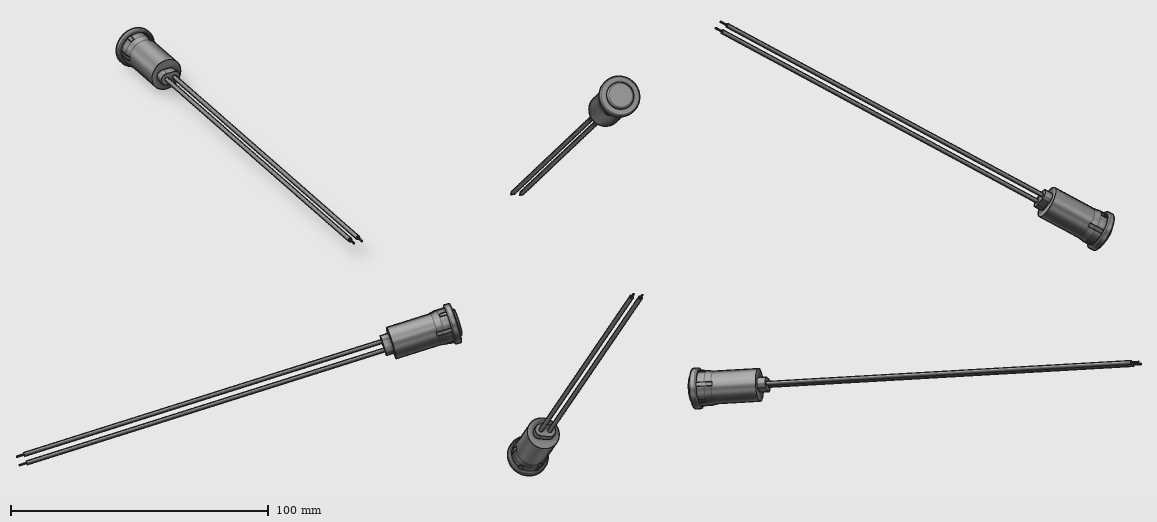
import cadquery as cq

total_length = 179.57

lens_radius = 5.4
lens_rounding = 0.7
lens_standout = 1.1

bezel_radius = 15.96 / 2
bezel_thickness = 2.6
bezel_rounding = 0.5
bezel_front = lens_standout
bezel_back = bezel_front + bezel_thickness

collar_radius = 6.8
collar_end = 6.8
barrel_radius = 6.4
taper_end = 9.4
barrel_end = 27.3

rib_count = 3
rib_spacing = 360 / rib_count
first_rib_angle = 180
rib_width = 1.6
rib_radius = 6.95
rib_flat_end = 7.6
rib_tip_radius = 6.5
rib_end = 9.9
bump_width = 1.6
bump_radius = 7.05
bump_flat_end = 5.6
bump_end = 6.5
root_radius = barrel_radius - 1

exit_width = 8.2
exit_height = 5.0
exit_end = 30.6

wire_pitch = 3.5
insulation_radius = 0.8
insulation_end = 176.5
tip_radius = 0.3


def rod(radius, start, end):
    """A round rod along the X axis."""
    return cq.Workplane("YZ").workplane(offset=start).circle(radius).extrude(end - start)


def make_lens():
    return rod(lens_radius, 0, bezel_back).faces("<X").edges().fillet(lens_rounding)


def make_bezel():
    disc = rod(bezel_radius, bezel_front, bezel_back).edges().fillet(bezel_rounding)
    return disc.cut(rod(lens_radius, bezel_front, bezel_back))


def sloped_rib(width, top_radius, flat_end, end_radius, end):
    """A rib on the +Y side of the collar: level at first, then sloping down to its tip."""
    profile = [
        (bezel_back, root_radius),
        (bezel_back, top_radius),
        (flat_end, top_radius),
        (end, end_radius),
        (end, root_radius),
    ]
    return cq.Workplane("XY").polyline(profile).close().extrude(width / 2, both=True)


def turned_about_axis(shape, angle):
    return shape.rotate((0, 0, 0), (1, 0, 0), angle)


def make_housing():
    profile = [
        (bezel_back, 0),
        (bezel_back, collar_radius),
        (collar_end, collar_radius),
        (taper_end, barrel_radius),
        (barrel_end, barrel_radius),
        (barrel_end, 0),
    ]
    body = cq.Workplane("XY").polyline(profile).close().revolve(360, (0, 0, 0), (1, 0, 0))

    rib = sloped_rib(rib_width, rib_radius, rib_flat_end, rib_tip_radius, rib_end)
    bump = sloped_rib(bump_width, bump_radius, bump_flat_end, collar_radius, bump_end)
    for index in range(rib_count):
        rib_angle = first_rib_angle + index * rib_spacing
        body = body.union(turned_about_axis(rib, rib_angle))
        body = body.union(turned_about_axis(bump, rib_angle + rib_spacing / 2))

    cable_exit = (
        cq.Workplane("YZ")
        .workplane(offset=barrel_end)
        .slot2D(exit_width, exit_height)
        .extrude(exit_end - barrel_end)
    )
    return body.union(cable_exit)


def make_wire(y):
    insulation = rod(insulation_radius, exit_end, insulation_end)
    bare_tip = rod(tip_radius, insulation_end, total_length)
    return insulation.union(bare_tip).translate((0, y, 0))


lens = make_lens()
bezel = make_bezel()
housing = make_housing()
wires = [make_wire(side * wire_pitch / 2) for side in (-1, 1)]

result = cq.Compound.makeCompound(
    [lens.val(), bezel.val(), housing.val(), *[wire.val() for wire in wires]]
)